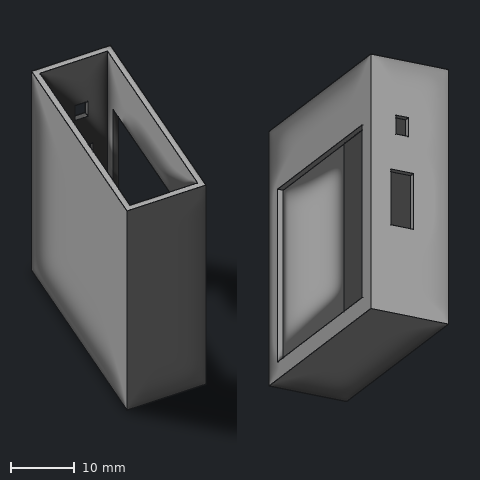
import cadquery as cq

length = 35.0
depth = 13.7
height = 43.4
wall = 1.0

port_line_from_back = 5.5
small_port_width = 2.2
small_port_height = 3.2
small_port_z = 32.2
large_port_width = 4.0
large_port_height = 9.5
large_port_z = 19.7

window_margin = 3.0
window_top = 32.4


def open_box():
    """Box with a floor and four equal walls, open at the top."""
    outer = cq.Workplane("XY").box(length, depth, height, centered=(True, True, False))
    return outer.faces(">Z").shell(-wall)


def port(width, tall, center_z):
    """Cutter for a rectangular port in the -X wall."""
    center = (-length / 2 + wall / 2, depth / 2 - port_line_from_back, center_z)
    return cq.Workplane("XY").box(wall, width, tall).translate(center)


def window():
    """Cutter for the rectangular window in the +Y wall."""
    window_length = length - 2 * window_margin
    window_height = window_top - window_margin
    center = (0, depth / 2 - wall / 2, window_margin + window_height / 2)
    return cq.Workplane("XY").box(window_length, wall, window_height).translate(center)


result = (
    open_box()
    .cut(port(small_port_width, small_port_height, small_port_z))
    .cut(port(large_port_width, large_port_height, large_port_z))
    .cut(window())
)